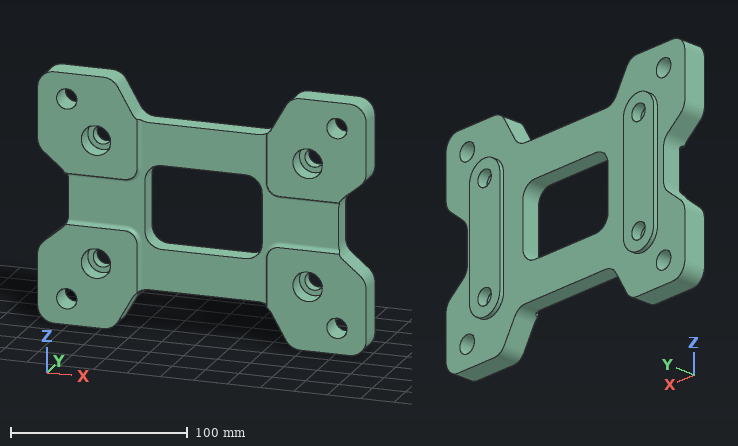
import cadquery as cq

length = 197.0
height = 150.0
overall_thickness = 18.3

rail_thickness = 3.0
corner_step = 3.0
plate_thickness = overall_thickness - rail_thickness
web_thickness = plate_thickness - corner_step

half_length = length / 2
half_height = height / 2
waist_half_length = 81.0
waist_half_height = 49.8
top_flank_outer_x = 53.2
top_flank_inner_x = 38.8
side_flank_outer_z = 29.7
side_flank_inner_z = 15.2
outline_radius = 10.0

window_length = 70.1
window_height = 49.8
window_radius = 10.0

pad_corner_radius = 7.5
pad_foot_radius = 2.4

side_margin = 2.0

mount_hole_x = 81.0
mount_hole_z = 59.5
mount_hole_diameter = 12.0
bolt_x = 63.5
bolt_z = 36.6
bolt_hole_diameter = 11.0
counterbore_diameter = 17.5
counterbore_depth = 11.2

rail_width = 25.0

corner_signs = [(sx, sz) for sx in (-1, 1) for sz in (-1, 1)]


def front_plane(y):
    """Plane facing -Y, with local x along X and local y along Z."""
    return cq.Workplane("XZ", origin=(0, y, 0))


def corner_points(x, z):
    """The point (x, z) mirrored into all four quadrants."""
    return [(sx * x, sz * z) for sx, sz in corner_signs]


def make_outline_prism():
    """Plate outline with every corner rounded, through the full plate thickness."""
    quadrant = [
        (waist_half_length, side_flank_inner_z),
        (half_length, side_flank_outer_z),
        (half_length, half_height),
        (top_flank_outer_x, half_height),
        (top_flank_inner_x, waist_half_height),
    ]
    upper_left = [(-x, z) for x, z in reversed(quadrant)]
    upper = quadrant + upper_left
    lower = [(-x, -z) for x, z in upper]
    prism = front_plane(0).polyline(upper + lower).close().extrude(plate_thickness)
    return prism.edges("|Y").fillet(outline_radius)


def make_pad(sx, sz):
    """Block reaching from the inner pad corner to the outer corner of the plate."""
    pad_length = half_length - top_flank_inner_x
    pad_height = half_height - side_flank_inner_z
    center_x = sx * (top_flank_inner_x + pad_length / 2)
    center_z = sz * (side_flank_inner_z + pad_height / 2)
    pad = front_plane(0).center(center_x, center_z).rect(pad_length, pad_height).extrude(plate_thickness)
    inner_edge = cq.selectors.NearestToPointSelector(
        (sx * top_flank_inner_x, -plate_thickness / 2, sz * side_flank_inner_z)
    )
    return pad.edges(inner_edge).fillet(pad_corner_radius)


def make_stepped_blank():
    """Rectangular web with four raised pads, filleted along the foot of each pad."""
    blank = front_plane(0).rect(length, height).extrude(web_thickness)
    for sx, sz in corner_signs:
        blank = blank.union(make_pad(sx, sz))
    web_face = cq.selectors.NearestToPointSelector((0, -web_thickness, 0))
    inside_outer_sides = cq.selectors.BoxSelector(
        (-half_length + side_margin, -plate_thickness, -half_height + side_margin),
        (half_length - side_margin, 0, half_height - side_margin),
    )
    foot_edges = blank.faces(web_face).edges(inside_outer_sides)
    return foot_edges.fillet(pad_foot_radius)


def make_rails():
    """Obround raised rails on the back face."""
    rail_height = 2 * bolt_z + rail_width
    return (
        front_plane(rail_thickness)
        .pushPoints([(-bolt_x, 0), (bolt_x, 0)])
        .slot2D(rail_height, rail_width, 90)
        .extrude(rail_thickness)
    )


def make_window():
    """Rounded opening through the web."""
    window = front_plane(0).rect(window_length, window_height).extrude(plate_thickness)
    return window.edges("|Y").fillet(window_radius)


def make_holes(x, z, diameter, back_y):
    """Four round cutters from back_y forward to the front face of the pads."""
    depth = back_y + plate_thickness
    return front_plane(back_y).pushPoints(corner_points(x, z)).circle(diameter / 2).extrude(depth)


counterbore_floor_y = counterbore_depth - plate_thickness

result = (
    make_stepped_blank()
    .intersect(make_outline_prism())
    .union(make_rails())
    .cut(make_window())
    .cut(make_holes(mount_hole_x, mount_hole_z, mount_hole_diameter, 0))
    .cut(make_holes(bolt_x, bolt_z, bolt_hole_diameter, rail_thickness))
    .cut(make_holes(bolt_x, bolt_z, counterbore_diameter, counterbore_floor_y))
)